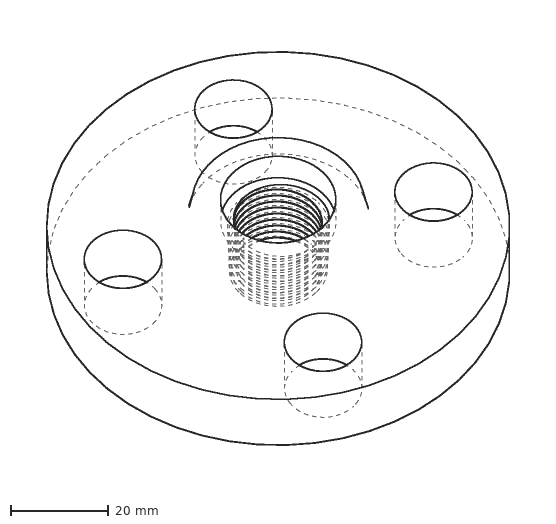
import cadquery as cq
import math

flange_diameter = 95.2
flange_thickness = 14.3
total_height = 22.4

bolt_count = 4
bolt_circle_diameter = 66.5
bolt_hole_diameter = 15.9

hub_base_radius = 19.1
hub_top_radius = 17.5
hub_fillet = 1.5

counterbore_diameter = 23.7
counterbore_depth = 6.7
counterbore_floor = total_height - counterbore_depth

thread_pitch = 1.8
thread_crest_radius = 9.1
thread_root_radius = 10.6
thread_taper = 1 / 32
thread_overrun = thread_pitch
groove_flank_angle = math.radians(30)


def crest_radius_at(height):
    """Radius of the tapered bore at a height above the flange bottom."""
    return thread_crest_radius + (height - counterbore_floor) * thread_taper


def make_flange():
    """Disc with a conical hub, rounded at the rim and at the foot."""
    outline = (
        cq.Workplane("XZ")
        .lineTo(flange_diameter / 2, 0)
        .lineTo(flange_diameter / 2, flange_thickness)
        .lineTo(hub_base_radius, flange_thickness)
        .lineTo(hub_top_radius, total_height)
        .lineTo(0, total_height)
        .close()
    )
    body = outline.revolve(360, (0, 0, 0), (0, 1, 0))
    selection_radius = hub_base_radius + hub_fillet
    rim_and_foot = cq.selectors.BoxSelector(
        (-selection_radius, -selection_radius, 0),
        (selection_radius, selection_radius, total_height + hub_fillet),
        boundingbox=True,
    )
    return body.edges("%CIRCLE").edges(rim_and_foot).fillet(hub_fillet)


def make_bolt_holes():
    return (
        cq.Workplane("XY")
        .polarArray(bolt_circle_diameter / 2, 0, 360, bolt_count)
        .circle(bolt_hole_diameter / 2)
        .extrude(flange_thickness)
    )


def make_bore():
    """Tapered bore with a plain counterbore above it."""
    counterbore_radius = counterbore_diameter / 2
    outline = (
        cq.Workplane("XZ")
        .lineTo(crest_radius_at(0), 0)
        .lineTo(thread_crest_radius, counterbore_floor)
        .lineTo(counterbore_radius, counterbore_floor)
        .lineTo(counterbore_radius, total_height)
        .lineTo(0, total_height)
        .close()
    )
    return outline.revolve(360, (0, 0, 0), (0, 1, 0))


def make_thread_groove():
    """V groove along a conical helix that runs out past both ends of the bore."""
    turns_below = math.ceil((counterbore_floor + thread_overrun) / thread_pitch)
    start = counterbore_floor - turns_below * thread_pitch
    length = counterbore_floor + thread_overrun - start
    start_radius = crest_radius_at(start)
    path = cq.Wire.makeHelix(
        thread_pitch, length, start_radius, angle=math.degrees(math.atan(thread_taper))
    )
    inner_offset = 0.13
    depth = thread_root_radius - thread_crest_radius
    half_width = (depth + inner_offset) * math.tan(groove_flank_angle)
    groove = (
        cq.Workplane("XZ")
        .moveTo(start_radius - inner_offset, -half_width)
        .lineTo(start_radius + depth, 0)
        .lineTo(start_radius - inner_offset, half_width)
        .close()
        .sweep(cq.Workplane(path), isFrenet=True)
    )
    return groove.rotate((0, 0, 0), (0, 0, 1), 90).translate((0, 0, start))


result = make_flange().cut(make_bolt_holes()).cut(make_bore()).cut(make_thread_groove())